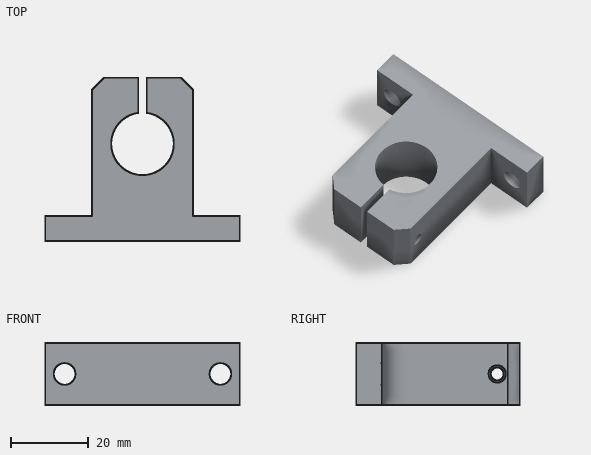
import cadquery as cq

foot_width = 50
foot_thickness = 6.5
height = 16
mount_hole_diameter = 5.5
mount_hole_spacing = 40

block_width = 26
overall_depth = 42
corner_chamfer = 3.1
bore_diameter = 16
bore_distance = 25
slot_width = 2.1

screw_hole_diameter = 3.25
clearance_hole_diameter = 4.5
screw_inset = 5.8


def make_body():
    """T-shaped body with its mounting face at Y = 0."""
    foot = cq.Workplane("XY").box(foot_width, foot_thickness, height, centered=(True, False, True))
    block = (
        cq.Workplane("XY")
        .box(block_width, overall_depth, height, centered=(True, False, True))
        .edges("|Z and >Y")
        .chamfer(corner_chamfer)
    )
    return foot.union(block)


def make_bore_and_slot():
    """Shaft bore with the clamping slot running out through the far end."""
    bore = (
        cq.Workplane("XY")
        .center(0, bore_distance)
        .circle(bore_diameter / 2)
        .extrude(height / 2, both=True)
    )
    slot = (
        cq.Workplane("XY")
        .box(slot_width, overall_depth - bore_distance, height, centered=(True, False, True))
        .translate((0, bore_distance, 0))
    )
    return bore.union(slot)


def make_mount_holes():
    """Pair of plain holes through the foot."""
    return (
        cq.Workplane("XZ")
        .pushPoints([(-mount_hole_spacing / 2, 0), (mount_hole_spacing / 2, 0)])
        .circle(mount_hole_diameter / 2)
        .extrude(-foot_thickness)
    )


def make_screw_hole():
    """Clamp screw hole: narrow in the -X jaw, clearance size in the +X jaw."""
    screw_axis = cq.Workplane("YZ").center(overall_depth - screw_inset, 0)
    narrow = screw_axis.circle(screw_hole_diameter / 2).extrude(-block_width / 2)
    clearance = screw_axis.circle(clearance_hole_diameter / 2).extrude(block_width / 2)
    return narrow.union(clearance)


result = make_body().cut(make_bore_and_slot()).cut(make_mount_holes()).cut(make_screw_hole())